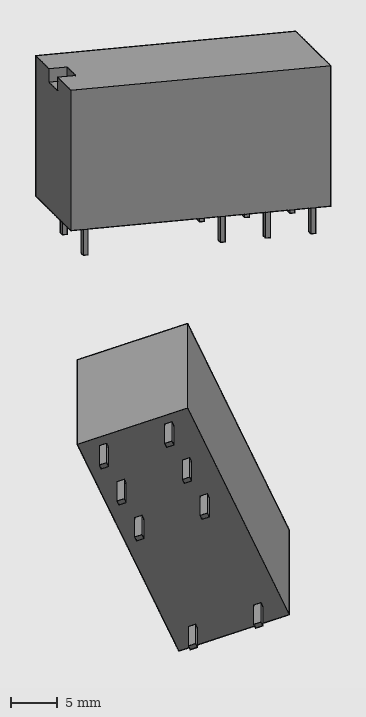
import cadquery as cq

body_width = 12.7
body_length = 29.0
total_height = 19.3
pin_length = 3.6
body_height = total_height - pin_length

notch_width = 3.1
notch_length = 2.03
notch_depth = 1.5

pin_width = 0.85
pin_thickness = 0.55
left_row_x = -3.7
right_row_x = 3.8
end_pin_y = -12.18
pin_pitch = 5.05
last_pin_y = 13.2
pins_per_group = 3
pin_rows_y = [end_pin_y] + [last_pin_y - i * pin_pitch for i in range(pins_per_group)]
pin_overlap = 0.3


def make_body():
    """Housing with its underside on Z = 0."""
    return cq.Workplane("XY").box(body_width, body_length, body_height, centered=(True, True, False))


def make_notch():
    """Block removed from the top edge of the -Y end."""
    return (
        cq.Workplane("XY", origin=(0, -body_length / 2, body_height - notch_depth))
        .box(notch_width, 2 * notch_length, notch_depth, centered=(True, True, False))
    )


def make_pins():
    """Two rows of pins below the housing."""
    places = [(x, y) for x in (left_row_x, right_row_x) for y in pin_rows_y]
    return (
        cq.Workplane("XY", origin=(0, 0, -pin_length))
        .pushPoints(places)
        .rect(pin_width, pin_thickness)
        .extrude(pin_length + pin_overlap)
    )


result = make_body().cut(make_notch()).union(make_pins())